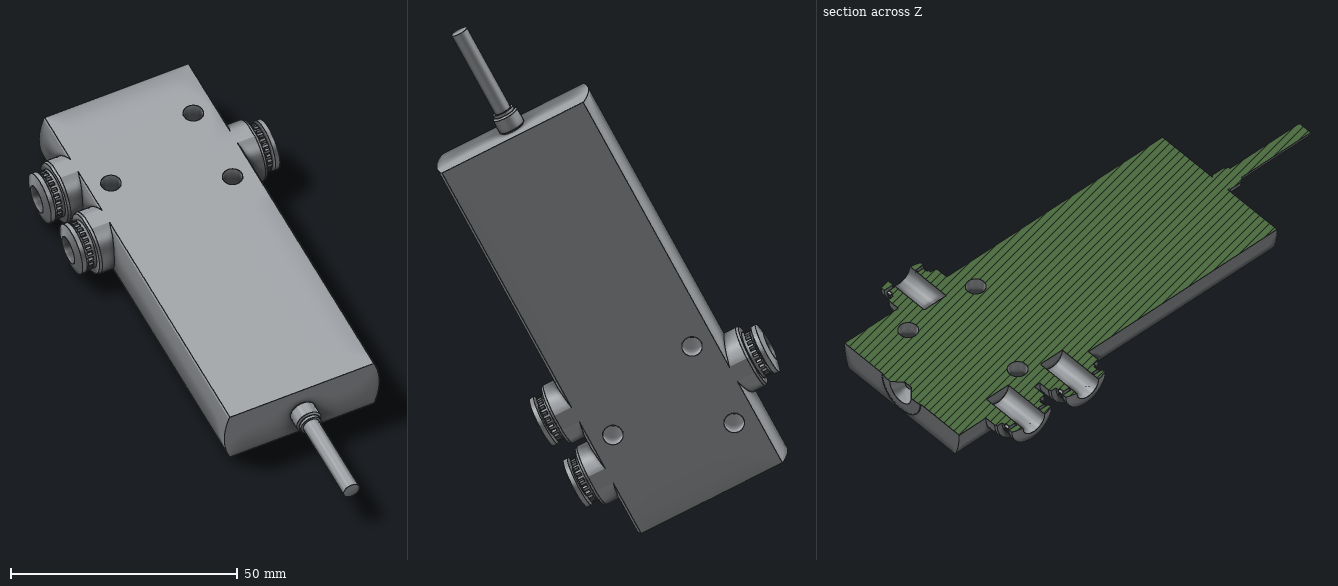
import cadquery as cq
import math

BODY_LENGTH = 94.4
BODY_WIDTH = 38.0
BODY_HEIGHT = 14.0
FLAT_WIDTH = 35.2
SIDE_RADIUS = 20.0
EDGE_DROP = 0.4

MOUNT_HOLE_DIAMETER = 4.5
MOUNT_CENTER_X = 23.15
MOUNT_SPACING_X = 20.0
MOUNT_SPACING_Y = 25.0

BOSS_DIAMETER = 12.6
BOSS_HEIGHT = 0.4
BOSS_RIM_HEIGHT = 0.25
RECESS_MOUTH_DIAMETER = 7.0
RECESS_FLOOR_DIAMETER = 2.0
RECESS_DEPTH = 2.3

PORT_PITCH = 16.0
COLLAR_DIAMETER = 14.5
COLLAR_REACH = 22.5
COLLAR_CHAMFER = 0.6
COLLAR_CHAMFER_ANGLE = 22
FITTING_ROOT = 12.0
RING_DIAMETER = 11.2
RING_REACH = 24.4
NOTCH_START = 23.2
NOTCH_COUNT = 24
NOTCH_WIDTH = 0.9
NOTCH_DEPTH = 0.5
NECK_DIAMETER = 7.0
FLANGE_DIAMETER = 11.8
FLANGE_START = 25.0
FLANGE_RIM_REACH = 26.1
FITTING_REACH = 26.8
FLANGE_BULGE = 0.05
BORE_DIAMETER = 6.4
BORE_DEPTH = 12.0

CABLE_DIAMETER = 3.9
CABLE_LENGTH = 25.29
RELIEF_DIAMETER = 6.0
RELIEF_SHOULDER = 4.0
RELIEF_CHAMFER = 0.4
RELIEF_TIP_DIAMETER = 5.0
RELIEF_TIP_END = 4.7


def make_body():
    """Flat block with bulged long sides and bevelled long edges."""
    half_width = BODY_WIDTH / 2
    half_height = BODY_HEIGHT / 2
    half_flat = FLAT_WIDTH / 2
    side_z = half_height - EDGE_DROP
    side_y = half_width - SIDE_RADIUS + math.sqrt(SIDE_RADIUS**2 - side_z**2)
    return (
        cq.Workplane("YZ")
        .moveTo(-half_flat, half_height)
        .lineTo(half_flat, half_height)
        .lineTo(side_y, side_z)
        .threePointArc((half_width, 0), (side_y, -side_z))
        .lineTo(half_flat, -half_height)
        .lineTo(-half_flat, -half_height)
        .lineTo(-side_y, -side_z)
        .threePointArc((-half_width, 0), (-side_y, side_z))
        .close()
        .extrude(BODY_LENGTH)
    )


def add_boss(body):
    """Round boss on the front face, with a conical recess in its middle."""
    mouth_radius = RECESS_MOUTH_DIAMETER / 2
    floor_x = RECESS_DEPTH - BOSS_HEIGHT
    boss = (
        cq.Workplane("XY")
        .lineTo(0, BOSS_DIAMETER / 2)
        .lineTo(-BOSS_RIM_HEIGHT, BOSS_DIAMETER / 2)
        .lineTo(-BOSS_HEIGHT, mouth_radius)
        .lineTo(-BOSS_HEIGHT, 0)
        .close()
        .revolve(360, (0, 0, 0), (1, 0, 0))
    )
    recess = (
        cq.Workplane("XY")
        .moveTo(-BOSS_HEIGHT, 0)
        .lineTo(-BOSS_HEIGHT, mouth_radius)
        .lineTo(floor_x, RECESS_FLOOR_DIAMETER / 2)
        .lineTo(floor_x, 0)
        .close()
        .revolve(360, (0, 0, 0), (1, 0, 0))
    )
    return body.union(boss).cut(recess)


def collar_outline(reach):
    """Round collar section at the given reach, cut flush with the top and bottom of the body."""
    half_height = BODY_HEIGHT / 2
    radius = COLLAR_DIAMETER / 2
    half_flat = math.sqrt(radius**2 - half_height**2)
    return (
        cq.Workplane("XZ", origin=(0, reach, 0))
        .moveTo(-half_flat, half_height)
        .lineTo(half_flat, half_height)
        .threePointArc((radius, 0), (half_flat, -half_height))
        .lineTo(-half_flat, -half_height)
        .threePointArc((-radius, 0), (-half_flat, half_height))
        .close()
    )


def make_collar():
    """Collar of a fitting along +Y, chamfered all round its outer end."""
    shoulder_reach = COLLAR_REACH - COLLAR_CHAMFER
    barrel = collar_outline(shoulder_reach).extrude(shoulder_reach - FITTING_ROOT)
    chamfered_end = collar_outline(shoulder_reach).extrude(-COLLAR_CHAMFER, taper=COLLAR_CHAMFER_ANGLE)
    return barrel.union(chamfered_end)


def make_release_sleeve():
    """V-notched ring, neck and domed flange of a fitting along +Y."""
    dome_radius = (FLANGE_DIAMETER + BORE_DIAMETER) / 4
    dome_reach = (FLANGE_RIM_REACH + FITTING_REACH) / 2 + FLANGE_BULGE
    sleeve = (
        cq.Workplane("XY")
        .moveTo(0, FITTING_ROOT)
        .lineTo(RING_DIAMETER / 2, FITTING_ROOT)
        .lineTo(RING_DIAMETER / 2, RING_REACH)
        .lineTo(NECK_DIAMETER / 2, RING_REACH)
        .lineTo(NECK_DIAMETER / 2, FLANGE_START)
        .lineTo(FLANGE_DIAMETER / 2, FLANGE_START)
        .lineTo(FLANGE_DIAMETER / 2, FLANGE_RIM_REACH)
        .threePointArc((dome_radius, dome_reach), (BORE_DIAMETER / 2, FITTING_REACH))
        .lineTo(0, FITTING_REACH)
        .close()
        .revolve(360, (0, 0, 0), (0, 1, 0))
    )
    ring_radius = RING_DIAMETER / 2
    half_notch = NOTCH_WIDTH / 2
    notch = (
        cq.Workplane("XZ", origin=(0, RING_REACH, 0))
        .moveTo(ring_radius - NOTCH_DEPTH, 0)
        .lineTo(ring_radius, half_notch)
        .lineTo(ring_radius + NOTCH_DEPTH, half_notch)
        .lineTo(ring_radius + NOTCH_DEPTH, -half_notch)
        .lineTo(ring_radius, -half_notch)
        .close()
        .extrude(RING_REACH - NOTCH_START)
    )
    for index in range(NOTCH_COUNT):
        angle = 360 * index / NOTCH_COUNT
        sleeve = sleeve.cut(notch.rotate((0, 0, 0), (0, 1, 0), angle))
    return sleeve


def make_bore():
    """Blind tube bore of a fitting along +Y."""
    return (
        cq.Workplane("XZ", origin=(0, FITTING_REACH, 0))
        .circle(BORE_DIAMETER / 2)
        .extrude(BORE_DEPTH)
    )


def add_fittings(body):
    """Put one fitting on the +Y side and two on the -Y side."""
    fitting = make_collar().union(make_release_sleeve())
    bore = make_bore()
    half_pitch = PORT_PITCH / 2
    placements = ((0, 0), (-half_pitch, 180), (half_pitch, 180))
    for offset_x, turn in placements:
        position = (MOUNT_CENTER_X + offset_x, 0, 0)
        placed_fitting = fitting.rotate((0, 0, 0), (0, 0, 1), turn).translate(position)
        placed_bore = bore.rotate((0, 0, 0), (0, 0, 1), turn).translate(position)
        body = body.union(placed_fitting).cut(placed_bore)
    return body


def drill_mount_holes(body):
    """Drill two holes near the +Y side and one near the -Y side."""
    half_x = MOUNT_SPACING_X / 2
    half_y = MOUNT_SPACING_Y / 2
    holes = (
        cq.Workplane("XY", origin=(MOUNT_CENTER_X, 0, -BODY_HEIGHT / 2))
        .pushPoints([(-half_x, half_y), (half_x, half_y), (0, -half_y)])
        .circle(MOUNT_HOLE_DIAMETER / 2)
        .extrude(BODY_HEIGHT)
    )
    return body.cut(holes)


def make_cable():
    """Cable and stepped strain relief, turned about the X axis."""
    return (
        cq.Workplane("XY")
        .lineTo(0, RELIEF_DIAMETER / 2 - RELIEF_CHAMFER)
        .lineTo(RELIEF_CHAMFER, RELIEF_DIAMETER / 2)
        .lineTo(RELIEF_SHOULDER - RELIEF_CHAMFER, RELIEF_DIAMETER / 2)
        .lineTo(RELIEF_SHOULDER, RELIEF_DIAMETER / 2 - RELIEF_CHAMFER)
        .lineTo(RELIEF_SHOULDER, RELIEF_TIP_DIAMETER / 2)
        .lineTo(RELIEF_TIP_END, RELIEF_TIP_DIAMETER / 2)
        .lineTo(RELIEF_TIP_END, CABLE_DIAMETER / 2)
        .lineTo(CABLE_LENGTH, CABLE_DIAMETER / 2)
        .lineTo(CABLE_LENGTH, 0)
        .close()
        .revolve(360, (0, 0, 0), (1, 0, 0))
        .translate((BODY_LENGTH, 0, 0))
    )


result = make_body()
result = add_boss(result)
result = add_fittings(result)
result = drill_mount_holes(result)
result = result.union(make_cable())